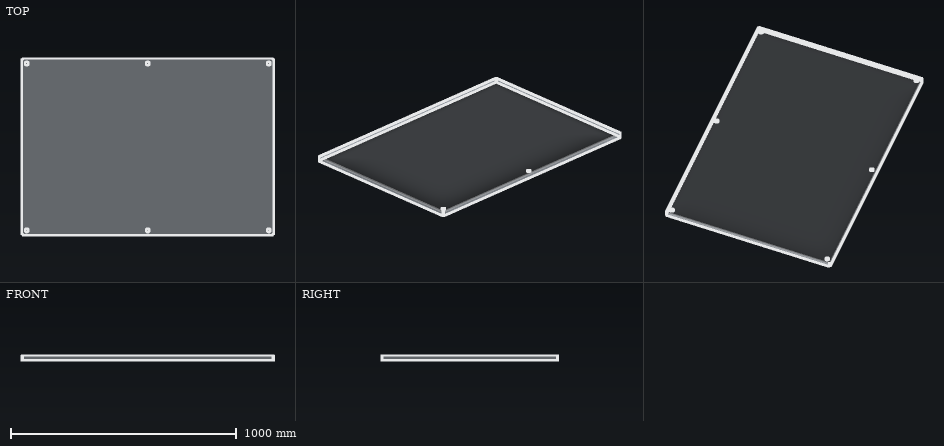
import cadquery as cq

length = 1118.0
width = 785.0
height = 22.0
sheet = 2.0
bend_radius = 3.5
corner_setback = 5.4
hole_diameter = 15.0
hole_inset = 22.0

inner_bend_radius = bend_radius - sheet
face_length = length - 2 * bend_radius
face_width = width - 2 * bend_radius


def make_face():
    """Flat top sheet, reaching out to where the bends start."""
    return (
        cq.Workplane("XY")
        .box(face_length, face_width, sheet, centered=(True, True, False))
        .translate((0, 0, height - sheet))
    )


def make_flange(span, reach, angle):
    """Bend and flange of the given span, with its outer side at the given reach from the centre."""
    bend_start = reach - bend_radius
    bend_end = height - bend_radius
    diagonal = 0.5 ** 0.5
    outer_middle = (bend_start + bend_radius * diagonal, bend_end + bend_radius * diagonal)
    inner_middle = (bend_start + inner_bend_radius * diagonal, bend_end + inner_bend_radius * diagonal)
    return (
        cq.Workplane("XZ")
        .moveTo(bend_start, height)
        .threePointArc(outer_middle, (reach, bend_end))
        .lineTo(reach, 0)
        .lineTo(reach - sheet, 0)
        .lineTo(reach - sheet, bend_end)
        .threePointArc(inner_middle, (bend_start, height - sheet))
        .close()
        .extrude(span / 2, both=True)
        .rotate((0, 0, 0), (0, 0, 1), angle)
    )


def make_holes():
    """Three mounting holes along each long side: both ends and the middle."""
    hole_x = length / 2 - hole_inset
    hole_y = width / 2 - hole_inset
    centres = [(x, y) for x in (-hole_x, 0, hole_x) for y in (-hole_y, hole_y)]
    return cq.Workplane("XY").pushPoints(centres).circle(hole_diameter / 2).extrude(height)


panel = make_face()
for side_angle in (0, 180):
    panel = panel.union(make_flange(width - 2 * corner_setback, length / 2, side_angle))
    panel = panel.union(make_flange(length - 2 * corner_setback, width / 2, side_angle + 90))

result = panel.cut(make_holes())